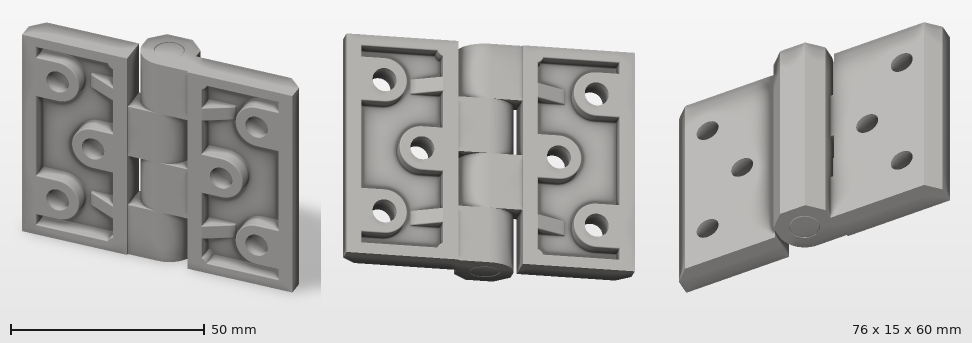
import cadquery as cq
HINGE_WIDTH = 76.0
HINGE_HEIGHT = 60.0
HINGE_DEPTH = 15.0

LEAF_THICKNESS = 8.0
LEAF_OUTER_X = HINGE_WIDTH / 2
LEAF_CHAMFER = 3.6
LEAF_CLEARANCE = 1.0

KNUCKLE_COUNT = 4
KNUCKLE_HEIGHT = HINGE_HEIGHT / KNUCKLE_COUNT
KNUCKLE_RELIEF = 0.5
KNUCKLE_CHAMFER = 3.9
PIN_AXIS_Y = LEAF_THICKNESS
KNUCKLE_RADIUS = PIN_AXIS_Y - KNUCKLE_RELIEF
LEAF_INNER_X = KNUCKLE_RADIUS + LEAF_CLEARANCE

PIN_DIAMETER = 8.0
PIN_END_FILLET = 0.4

SCREW_HOLE_DIAMETER = 6.3
BOSS_RADIUS = 6.0
OUTER_HOLE_X = 28.0
INNER_HOLE_X = 18.0
OUTER_HOLE_Z = 18.0

POCKET_DEPTH = 4.5
POCKET_OUTER_X = 34.0
POCKET_INNER_X = 12.55
POCKET_HALF_HEIGHT = 27.0
POCKET_CORNER_LEG = 1.45
POCKET_CORNER_RADIUS = 2.5
POCKET_EDGE_FILLET = 0.3

RIB_WIDTH = 4.0
RIB_TIP_X = 20.3
RIB_TIP_HEIGHT = 0.5
RIB_EDGE_FILLET = 0.3


def box_between(x_range, y_range, z_range):
    """Axis-aligned box from its limits along X, Y and Z."""
    (x0, x1), (y0, y1), (z0, z1) = x_range, y_range, z_range
    return cq.Workplane("XY").box(x1 - x0, y1 - y0, z1 - z0, centered=False).translate((x0, y0, z0))


def leaf_plate():
    """Flat plate on the -X side with its outer back edge chamfered."""
    return (
        box_between(
            (-LEAF_OUTER_X, -LEAF_INNER_X),
            (0, LEAF_THICKNESS),
            (-HINGE_HEIGHT / 2, HINGE_HEIGHT / 2),
        )
        .edges("<X and >Y")
        .chamfer(LEAF_CHAMFER)
    )


def knuckle(bottom_z):
    """One knuckle: chamfered at the back, rounded on the side away from its leaf."""
    chamfer_start_y = HINGE_DEPTH - KNUCKLE_CHAMFER
    back_half_width = KNUCKLE_RADIUS - KNUCKLE_CHAMFER
    return (
        cq.Workplane("XY", origin=(0, 0, bottom_z))
        .moveTo(-LEAF_INNER_X, KNUCKLE_RELIEF)
        .lineTo(0, KNUCKLE_RELIEF)
        .radiusArc((KNUCKLE_RADIUS, PIN_AXIS_Y), -KNUCKLE_RADIUS)
        .lineTo(KNUCKLE_RADIUS, chamfer_start_y)
        .lineTo(back_half_width, HINGE_DEPTH)
        .lineTo(-back_half_width, HINGE_DEPTH)
        .lineTo(-KNUCKLE_RADIUS, chamfer_start_y)
        .lineTo(-KNUCKLE_RADIUS, LEAF_THICKNESS)
        .lineTo(-LEAF_INNER_X, LEAF_THICKNESS)
        .close()
        .extrude(KNUCKLE_HEIGHT)
    )


def boss(hole_x, hole_z, wall_x):
    """Round boss around a screw hole, carried straight on to a pocket wall."""
    round_end = (
        cq.Workplane("XZ", origin=(hole_x, 0, hole_z)).circle(BOSS_RADIUS).extrude(-POCKET_DEPTH)
    )
    neck = box_between(
        (min(hole_x, wall_x), max(hole_x, wall_x)),
        (0, POCKET_DEPTH),
        (hole_z - BOSS_RADIUS, hole_z + BOSS_RADIUS),
    )
    return round_end.union(neck)


def pocket():
    """Volume removed from the mounting face, with the bosses left standing."""
    arc_start_x = -POCKET_INNER_X - POCKET_CORNER_LEG
    arc_end_z = POCKET_HALF_HEIGHT - POCKET_CORNER_LEG
    volume = (
        cq.Workplane("XZ")
        .moveTo(-POCKET_OUTER_X, -POCKET_HALF_HEIGHT)
        .lineTo(-POCKET_OUTER_X, POCKET_HALF_HEIGHT)
        .lineTo(arc_start_x, POCKET_HALF_HEIGHT)
        .radiusArc((-POCKET_INNER_X, arc_end_z), -POCKET_CORNER_RADIUS)
        .lineTo(-POCKET_INNER_X, -arc_end_z)
        .radiusArc((arc_start_x, -POCKET_HALF_HEIGHT), -POCKET_CORNER_RADIUS)
        .close()
        .extrude(-POCKET_DEPTH)
        .cut(boss(-INNER_HOLE_X, 0, -POCKET_INNER_X))
    )
    for z in (-OUTER_HOLE_Z, OUTER_HOLE_Z):
        volume = volume.cut(boss(-OUTER_HOLE_X, z, -POCKET_OUTER_X))
    return volume


def rib(center_z):
    """Wedge that slopes from the mounting face down to a low tip on the pocket floor.

    Its high end runs into the pocket's inner wall, past the rounded rim.
    """
    buried_x = -POCKET_INNER_X + 2 * POCKET_EDGE_FILLET
    return (
        cq.Workplane("XY", origin=(0, 0, center_z - RIB_WIDTH / 2))
        .moveTo(buried_x, 0)
        .lineTo(-POCKET_INNER_X, 0)
        .lineTo(-RIB_TIP_X, POCKET_DEPTH - RIB_TIP_HEIGHT)
        .lineTo(-RIB_TIP_X, POCKET_DEPTH)
        .lineTo(buried_x, POCKET_DEPTH)
        .close()
        .extrude(RIB_WIDTH)
        .edges("(<Z or >Z) and (not >Y) and (not >X)")
        .fillet(RIB_EDGE_FILLET)
    )


def screw_holes():
    """Through holes along Y: two near the outer edge, one near the knuckles."""
    centers = [
        (-OUTER_HOLE_X, -OUTER_HOLE_Z),
        (-OUTER_HOLE_X, OUTER_HOLE_Z),
        (-INNER_HOLE_X, 0),
    ]
    return (
        cq.Workplane("XZ").pushPoints(centers).circle(SCREW_HOLE_DIAMETER / 2).extrude(-LEAF_THICKNESS)
    )


def pin_cylinder():
    """Full-height cylinder on the pin axis."""
    return (
        cq.Workplane("XY", origin=(0, PIN_AXIS_Y, -HINGE_HEIGHT / 2))
        .circle(PIN_DIAMETER / 2)
        .extrude(HINGE_HEIGHT)
    )


def make_leaf():
    """Leaf on the -X side, with the lowest knuckle and every second one above it."""
    leaf = leaf_plate().cut(pocket())
    leaf = leaf.newObject(leaf.faces("<Y").val().innerWires()).edges().fillet(POCKET_EDGE_FILLET)
    for z in (-OUTER_HOLE_Z, OUTER_HOLE_Z):
        leaf = leaf.union(rib(z))
    leaf = leaf.faces("-Y").faces(">Y").edges().fillet(POCKET_EDGE_FILLET)
    leaf = leaf.cut(screw_holes())
    for index in range(0, KNUCKLE_COUNT, 2):
        leaf = leaf.union(knuckle(-HINGE_HEIGHT / 2 + index * KNUCKLE_HEIGHT))
    return leaf.cut(pin_cylinder())


def make_pin():
    """Pin flush with the outer knuckles, rounded at both ends."""
    return pin_cylinder().edges().fillet(PIN_END_FILLET)


leaves = [make_leaf().rotate((0, 0, 0), (0, 1, 0), angle) for angle in (0, 180)]
pin = make_pin()

result = cq.Compound.makeCompound([*[leaf.val() for leaf in leaves], pin.val()])